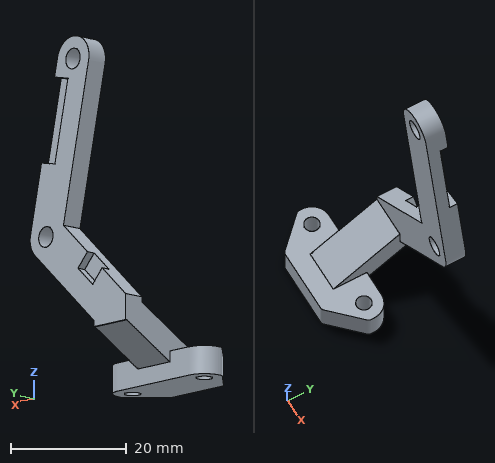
import cadquery as cq
import math

base_width = 25.0
base_depth = 10.45
base_thickness = 5.0
base_corner_radius = 3.5
base_side_length = 4.4
base_front_width = 13.0
base_edge_radius = 1.0
screw_hole_diameter = 2.8
screw_hole_spacing = 18.0

overall_height = 61.2
arm_width = 8.0
arm_thickness = 4.0
arm_back_y = 14.0
pivot_diameter = 3.6
elbow = (16.0, 26.75)
tip = (9.2, overall_height - arm_width / 2)
lower_link_angle = 43.0
lower_link_length = 20.7
foot_top_z = 16.0
foot_bottom_z = 9.0

strut_thickness = 5.0
strut_angle = 30.0
strut_back_y = arm_back_y - 0.3
strut_length = 17.45

pocket_depth_y = 1.6
pocket_width = 3.5
lower_pocket_start = 10.5
lower_pocket_length = 5.0
upper_pocket_start = 12.7
upper_pocket_length = 15.0

base_back_y = base_corner_radius
base_front_y = base_back_y - base_depth
lug_radius = arm_width / 2


def make_base():
    side = base_width / 2
    side_y = base_back_y - base_side_length
    front = base_front_width / 2
    outline = [
        (-side, base_back_y),
        (side, base_back_y),
        (side, side_y),
        (front, base_front_y),
        (-front, base_front_y),
        (-side, side_y),
    ]
    base = cq.Workplane("XY").polyline(outline).close().extrude(base_thickness)
    base = base.edges("|Z").edges(">Y").fillet(base_corner_radius)
    front_edges = cq.selectors.BoxSelector(
        (-base_width, base_front_y - 0.6, -0.6),
        (base_width, side_y + base_edge_radius / 4, base_thickness + 0.6),
    )
    base = base.edges("|Z").edges(front_edges).fillet(base_edge_radius)
    screw_points = [(-screw_hole_spacing / 2, 0), (screw_hole_spacing / 2, 0)]
    return base.faces(">Z").workplane(origin=(0, 0, 0)).pushPoints(screw_points).hole(screw_hole_diameter)


def link_box(start, angle, along, across, thickness):
    """Box in a link's frame: spans along and across its axis, forward from the arm back."""
    length = along[1] - along[0]
    width = across[1] - across[0]
    box = cq.Workplane("XY").box(length, thickness, width, centered=False)
    box = box.translate((along[0], arm_back_y - thickness, across[0]))
    box = box.rotate((0, 0, 0), (0, 1, 0), -angle)
    return box.translate((start[0], 0, start[1]))


def arm_cylinder(center, diameter):
    plane = cq.Workplane("XZ", origin=(center[0], arm_back_y, center[1]))
    return plane.circle(diameter / 2).extrude(arm_thickness)


def make_foot():
    """Upright block under the lower link, its top left corner cut flush with the link."""
    angle = math.radians(lower_link_angle)
    half = arm_width / 2
    edge_x = elbow[0] - half * math.sin(angle)
    edge_z = elbow[1] + half * math.cos(angle)
    left_z = edge_z - (edge_x + half) * math.tan(angle)
    flush_x = edge_x - (edge_z - foot_top_z) / math.tan(angle)
    outline = [
        (-half, foot_bottom_z),
        (half, foot_bottom_z),
        (half, foot_top_z),
        (flush_x, foot_top_z),
        (-half, left_z),
    ]
    plane = cq.Workplane("XZ", origin=(0, arm_back_y, 0))
    return plane.polyline(outline).close().extrude(arm_thickness)


def make_arm():
    upper_angle = math.degrees(math.atan2(tip[1] - elbow[1], tip[0] - elbow[0]))
    upper_length = math.hypot(tip[0] - elbow[0], tip[1] - elbow[1])
    lower_angle = lower_link_angle + 180
    full_width = (-lug_radius, lug_radius)

    arm = link_box(elbow, upper_angle, (0, upper_length), full_width, arm_thickness)
    arm = arm.union(link_box(elbow, lower_angle, (0, lower_link_length), full_width, arm_thickness))
    arm = arm.union(make_foot())
    for pivot in (elbow, tip):
        arm = arm.union(arm_cylinder(pivot, arm_width))

    pocket_across = (-lug_radius, -lug_radius + pocket_width)
    for angle, start, length in (
        (lower_angle, lower_pocket_start, lower_pocket_length),
        (upper_angle, upper_pocket_start, upper_pocket_length),
    ):
        along = (start, start + length)
        arm = arm.cut(link_box(elbow, angle, along, pocket_across, pocket_depth_y))
    for pivot in (elbow, tip):
        arm = arm.cut(arm_cylinder(pivot, pivot_diameter))
    return arm


def make_strut():
    """Square-ended bar whose lower back edge starts at the bottom of the foot."""
    strut = cq.Workplane("XY").box(arm_width, strut_length, strut_thickness, centered=(True, False, False))
    strut = strut.translate((0, -strut_length, 0))
    strut = strut.rotate((0, 0, 0), (1, 0, 0), strut_angle)
    return strut.translate((0, strut_back_y, foot_bottom_z))


result = make_base().union(make_strut()).union(make_arm())